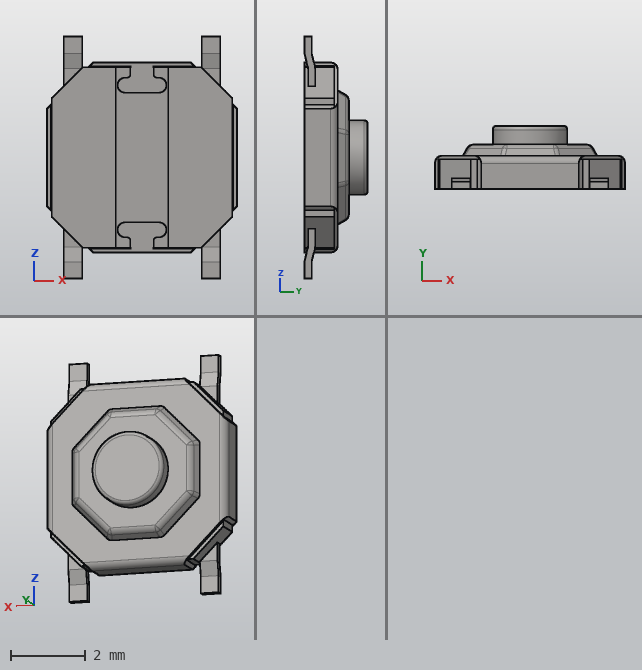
import cadquery as cq
import math


shell_width = 5.1
shell_height = 0.9
shell_thickness = 0.1
shell_bend_radius = 0.2
shell_corner_sum = 3.86

housing_width = 4.85
housing_height = shell_height - shell_thickness
housing_corner_sum = 4.01

strip_width = 1.4
strip_depth = 0.05

tab_stem_width = 0.62
tab_bar_width = 1.31
tab_bar_inner_z = 1.74
tab_bar_outer_z = 2.14
tab_neck_radius = 0.1

platform_base_width = 3.6
platform_height = 0.3
platform_taper = 30
platform_edge_radius = 0.2
platform_sides = 8

button_diameter = 2.0
total_height = 1.7
button_edge_radius = 0.1

lead_span = 6.5
lead_width = 0.5
lead_thickness = 0.2
lead_center_x = 1.85
lead_lift = 0.1
lead_foot_inner_z = 2.79
lead_bend_inner_z = 2.39
lead_end_z = 1.7


def plane_at(y):
    """Sketch plane at height y: local x is X, local y is -Z and the normal is +Y."""
    return cq.Workplane(cq.Plane(origin=(0, y, 0), xDir=(1, 0, 0), normal=(0, 1, 0)))


def square_block(width, height):
    return plane_at(0).rect(width, width).extrude(height)


def cut_corners(body, corner_sum, height):
    """Keep the part of the body where |X| + |Z| is at most corner_sum."""
    diamond_side = corner_sum * math.sqrt(2)
    diamond = square_block(diamond_side, height).rotate((0, 0, 0), (0, 1, 0), 45)
    return body.intersect(diamond)


def make_shell():
    shell = square_block(shell_width, shell_height).faces(">Y").edges().fillet(shell_bend_radius)
    cavity = square_block(shell_width - 2 * shell_thickness, housing_height)
    return cut_corners(shell.cut(cavity), shell_corner_sum, shell_height)


def make_housing():
    housing = cut_corners(square_block(housing_width, housing_height), housing_corner_sum, housing_height)
    strip = plane_at(0).rect(strip_width, housing_width).extrude(strip_depth)
    return housing.cut(strip)


def make_tab():
    """Tab on the +Z side: a round-ended bar joined to the shell wall by a stem."""
    bar_height = tab_bar_outer_z - tab_bar_inner_z
    bar_center_z = (tab_bar_inner_z + tab_bar_outer_z) / 2
    stem_outer_z = shell_width / 2 - shell_thickness / 2
    stem_length = stem_outer_z - bar_center_z
    bar = plane_at(0).center(0, -bar_center_z).slot2D(tab_bar_width, bar_height).extrude(shell_thickness)
    stem = (
        plane_at(0)
        .center(0, -(bar_center_z + stem_length / 2))
        .rect(tab_stem_width, stem_length)
        .extrude(shell_thickness)
    )
    neck_region = cq.selectors.BoxSelector(
        (-tab_stem_width, -shell_thickness, tab_bar_outer_z - tab_neck_radius / 2),
        (tab_stem_width, 2 * shell_thickness, tab_bar_outer_z + tab_neck_radius / 2),
    )
    return bar.union(stem).edges("|Y").edges(neck_region).fillet(tab_neck_radius)


def make_platform():
    corner_diameter = platform_base_width / math.cos(math.pi / platform_sides)
    half_side_angle = 180 / platform_sides
    base = (
        plane_at(shell_height)
        .transformed(rotate=(0, 0, half_side_angle))
        .polygon(platform_sides, corner_diameter)
        .extrude(platform_height, taper=platform_taper)
    )
    return base.edges("not <Y").fillet(platform_edge_radius)


def make_button():
    platform_top = shell_height + platform_height
    button = plane_at(platform_top).circle(button_diameter / 2).extrude(total_height - platform_top)
    return button.faces(">Y").edges().fillet(button_edge_radius)


def make_lead(center_x):
    """Lead on the +Z side, drawn in the YZ plane and extruded along X."""
    lower_edge = [
        (0, lead_span / 2),
        (0, lead_foot_inner_z),
        (lead_lift, lead_bend_inner_z),
        (lead_lift, lead_end_z),
    ]
    upper_edge = [(y + lead_thickness, z) for y, z in reversed(lower_edge)]
    return (
        cq.Workplane("YZ", origin=(center_x, 0, 0))
        .polyline(lower_edge + upper_edge)
        .close()
        .extrude(lead_width / 2, both=True)
    )


result = make_shell().union(make_housing()).union(make_platform()).union(make_button())

for side_feature in (make_tab(), make_lead(-lead_center_x), make_lead(lead_center_x)):
    result = result.union(side_feature).union(side_feature.mirror("XY"))